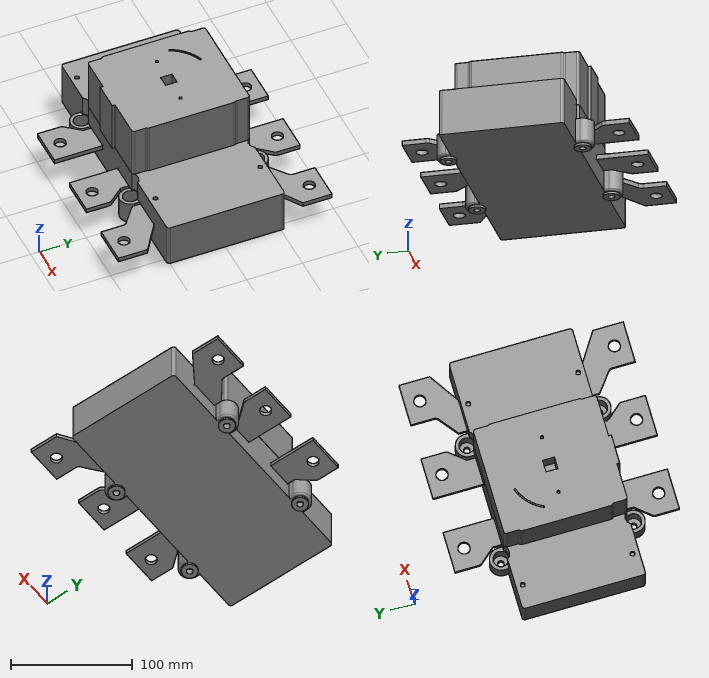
import cadquery as cq
import math


BASE_LENGTH = 216.7
BASE_DEPTH = 105.5
BASE_HEIGHT = 39.9
BASE_CORNER_RADIUS = 2.5
PILOT_DIAMETER = 4.0
PILOT_DEPTH = 4.3
PILOT_X_POSITIONS = (-88.6, 70.9)
PILOT_Y = 47.0

BAR_SPAN = 192.0
BAR_THICKNESS = 4.1
BAR_TOP = 21.0
BAR_WIDTH = 34.9
BAR_PITCH = 64.8
MIDDLE_BAR_X = 23.8
BAR_NECK_WIDTH = 23.2
BAR_NECK_END_Y = 60.2
BAR_PAD_START_Y = 74.1
BAR_BEND_RADIUS = 4.3
BAR_HOLE_DIAMETER = 10.0
BAR_HOLE_Y = 83.2
BENT_NECK_LEFT_X = 53.5
BENT_NECK_RIGHT_X = 80.5
BENT_PAD_START_Y = 69.8

LUG_X_POSITIONS = (-58.3, 41.5)
LUG_Y = 56.8
LUG_RADIUS = 9.5
LUG_HEIGHT = BAR_TOP
LUG_EDGE_FILLET = 1.5
FOOT_DIAMETER = 14.0
FOOT_HEIGHT = 2.0
BORE_DIAMETER = 13.0
BORE_FLOOR = 4.3
SCREW_HOLE_DIAMETER = 5.5
ACCESS_DIAMETER = 14.0
ACCESS_FLOOR = 22.3

BOX_HEIGHT = 47.9
BOX_LEFT = -54.5
BOX_RIGHT = 37.3
BOX_CORNER_RADIUS = 2.2
LEFT_BULGE = 1.5
RIGHT_BULGE = 0.9
BULGE_HALF_LENGTH = 41.2
BULGE_RAMP_LENGTH = 3.3
FRONT_PAD_LEFT = -23.2
FRONT_PAD_RIGHT = 1.3
FRONT_PAD_THICKNESS = 2.4

SHAFT_SQUARE = 10.2
SHAFT_DEPTH = 21.7
SIDE_HOLE_DIAMETER = 2.5
SIDE_HOLE_SPACING = 48.0
SIDE_HOLE_DEPTH = 4.3
DIAL_RADIUS = 36.0
DIAL_GROOVE_WIDTH = 1.3
DIAL_GROOVE_DEPTH = 0.5
DIAL_START_ANGLE = 109.0
DIAL_END_ANGLE = 156.0

BOX_TOP = BASE_HEIGHT + BOX_HEIGHT
BOX_CENTER_X = (BOX_LEFT + BOX_RIGHT) / 2
SIDES = (-1, 1)
LUG_CENTERS = [(x, side * LUG_Y) for x in LUG_X_POSITIONS for side in SIDES]


def cylinder(center, diameter, bottom, top):
    """Upright cylinder between two heights."""
    return cq.Workplane("XY", origin=(*center, bottom)).circle(diameter / 2).extrude(top - bottom)


def terminal_bar(half_outline, hole_x, bend_x):
    """Flat bar from its outline on the +Y half, mirrored to -Y.

    Each pad has a hole, and a rounded bend where its edge at bend_x meets the slope to the neck.
    """
    mirrored = [(x, -y) for x, y in reversed(half_outline)]
    bar = cq.Workplane("XY", origin=(0, 0, BAR_TOP - BAR_THICKNESS))
    bar = bar.polyline(half_outline + mirrored).close().extrude(BAR_THICKNESS)
    bar_middle_z = BAR_TOP - BAR_THICKNESS / 2
    for side in SIDES:
        bend = (bend_x, side * BAR_PAD_START_Y, bar_middle_z)
        bar = bar.edges(cq.NearestToPointSelector(bend)).fillet(BAR_BEND_RADIUS)
        bar = bar.cut(cylinder((hole_x, side * BAR_HOLE_Y), BAR_HOLE_DIAMETER, 0, BAR_TOP))
    return bar


def straight_bar(center_x, notched_side):
    """Bar with one straight edge; the other edge narrows to clear a lug."""
    straight_x = center_x - notched_side * BAR_WIDTH / 2
    pad_x = center_x + notched_side * BAR_WIDTH / 2
    neck_x = straight_x + notched_side * BAR_NECK_WIDTH
    half_outline = [
        (neck_x, BAR_NECK_END_Y),
        (pad_x, BAR_PAD_START_Y),
        (pad_x, BAR_SPAN / 2),
        (straight_x, BAR_SPAN / 2),
    ]
    return terminal_bar(half_outline, center_x, pad_x)


def bent_bar(center_x):
    """Bar whose pads are offset to +X from the neck inside the base."""
    pad_left = center_x - BAR_WIDTH / 2
    pad_right = center_x + BAR_WIDTH / 2
    half_outline = [
        (BENT_NECK_LEFT_X, BAR_NECK_END_Y),
        (pad_left, BAR_PAD_START_Y),
        (pad_left, BAR_SPAN / 2),
        (pad_right, BAR_SPAN / 2),
        (pad_right, BENT_PAD_START_Y),
        (BENT_NECK_RIGHT_X, BASE_DEPTH / 2),
    ]
    return terminal_bar(half_outline, center_x, pad_left)


def lug(center):
    """Round lug joined to the base by straight flanks, with a foot below it."""
    x, y = center
    flank = cq.Workplane("XY").box(2 * LUG_RADIUS, abs(y), LUG_HEIGHT, centered=(True, True, False))
    body = cylinder(center, 2 * LUG_RADIUS, 0, LUG_HEIGHT).union(flank.translate((x, y / 2, 0)))
    outer_end = ">Y" if y > 0 else "<Y"
    body = body.faces("<Z").edges(outer_end).fillet(LUG_EDGE_FILLET)
    return body.union(cylinder(center, FOOT_DIAMETER, -FOOT_HEIGHT, LUG_HEIGHT))


def make_base(bars):
    base = cq.Workplane("XY").box(BASE_LENGTH, BASE_DEPTH, BASE_HEIGHT, centered=(True, True, False))
    base = base.edges("|Z").fillet(BASE_CORNER_RADIUS)
    for center in LUG_CENTERS:
        base = base.union(lug(center))
    for center in LUG_CENTERS:
        base = base.cut(cylinder(center, ACCESS_DIAMETER, ACCESS_FLOOR, BASE_HEIGHT))
        base = base.cut(cylinder(center, BORE_DIAMETER, BORE_FLOOR, ACCESS_FLOOR))
        base = base.cut(cylinder(center, SCREW_HOLE_DIAMETER, -FOOT_HEIGHT, BORE_FLOOR))
    for x in PILOT_X_POSITIONS:
        for side in SIDES:
            center = (x, side * PILOT_Y)
            base = base.cut(cylinder(center, PILOT_DIAMETER, BASE_HEIGHT - PILOT_DEPTH, BASE_HEIGHT))
    for bar in bars:
        base = base.cut(bar)
    return base


def side_bulge(wall_x, bulge, side):
    """Shallow raised panel on an X side of the box, with S-shaped ramps at both ends."""
    outer_x = wall_x + side * bulge
    middle_x = wall_x + side * bulge / 2
    ramp_start = BULGE_HALF_LENGTH
    ramp_middle = BULGE_HALF_LENGTH - BULGE_RAMP_LENGTH / 2
    ramp_end = BULGE_HALF_LENGTH - BULGE_RAMP_LENGTH
    arc_radius = side * (bulge**2 + BULGE_RAMP_LENGTH**2) / (4 * bulge)
    return (
        cq.Workplane("XY", origin=(0, 0, BASE_HEIGHT))
        .moveTo(BOX_CENTER_X, ramp_start)
        .lineTo(wall_x, ramp_start)
        .radiusArc((middle_x, ramp_middle), -arc_radius)
        .radiusArc((outer_x, ramp_end), arc_radius)
        .lineTo(outer_x, -ramp_end)
        .radiusArc((middle_x, -ramp_middle), arc_radius)
        .radiusArc((wall_x, -ramp_start), -arc_radius)
        .lineTo(BOX_CENTER_X, -ramp_start)
        .close()
        .extrude(BOX_HEIGHT)
    )


def front_pad():
    """Full-height pad on the -Y side of the box."""
    front_y = -BASE_DEPTH / 2 - FRONT_PAD_THICKNESS
    width = FRONT_PAD_RIGHT - FRONT_PAD_LEFT
    pad = cq.Workplane("XY", origin=(FRONT_PAD_LEFT, front_y, BASE_HEIGHT))
    return pad.box(width, -front_y, BOX_HEIGHT, centered=False)


def dial_groove():
    """Shallow arc groove around the shaft axis."""
    inner = DIAL_RADIUS - DIAL_GROOVE_WIDTH / 2
    outer = DIAL_RADIUS + DIAL_GROOVE_WIDTH / 2
    middle_angle = (DIAL_START_ANGLE + DIAL_END_ANGLE) / 2

    def dial_point(radius, degrees):
        angle = math.radians(degrees)
        return (radius * math.cos(angle), radius * math.sin(angle))

    return (
        cq.Workplane("XY", origin=(BOX_CENTER_X, 0, BOX_TOP - DIAL_GROOVE_DEPTH))
        .moveTo(*dial_point(inner, DIAL_START_ANGLE))
        .threePointArc(dial_point(inner, middle_angle), dial_point(inner, DIAL_END_ANGLE))
        .lineTo(*dial_point(outer, DIAL_END_ANGLE))
        .threePointArc(dial_point(outer, middle_angle), dial_point(outer, DIAL_START_ANGLE))
        .close()
        .extrude(DIAL_GROOVE_DEPTH)
    )


def make_drive_box():
    length = BOX_RIGHT - BOX_LEFT
    box = cq.Workplane("XY", origin=(BOX_CENTER_X, 0, BASE_HEIGHT))
    box = box.box(length, BASE_DEPTH, BOX_HEIGHT, centered=(True, True, False))
    box = box.edges("|Z").fillet(BOX_CORNER_RADIUS)
    box = box.union(side_bulge(BOX_LEFT, LEFT_BULGE, -1))
    box = box.union(side_bulge(BOX_RIGHT, RIGHT_BULGE, 1))
    box = box.union(front_pad())

    shaft_socket = cq.Workplane("XY", origin=(BOX_CENTER_X, 0, BOX_TOP))
    shaft_socket = shaft_socket.rect(SHAFT_SQUARE, SHAFT_SQUARE).extrude(-SHAFT_DEPTH)
    box = box.cut(shaft_socket).cut(dial_groove())
    for side in SIDES:
        center = (BOX_CENTER_X + side * SIDE_HOLE_SPACING / 2, 0)
        box = box.cut(cylinder(center, SIDE_HOLE_DIAMETER, BOX_TOP - SIDE_HOLE_DEPTH, BOX_TOP))
    return box


terminal_bars = [
    straight_bar(MIDDLE_BAR_X - BAR_PITCH, -1),
    straight_bar(MIDDLE_BAR_X, 1),
    bent_bar(MIDDLE_BAR_X + BAR_PITCH),
]
base_housing = make_base(terminal_bars)
drive_box = make_drive_box()

result = cq.Compound.makeCompound(
    [base_housing.val(), drive_box.val(), *[bar.val() for bar in terminal_bars]]
)